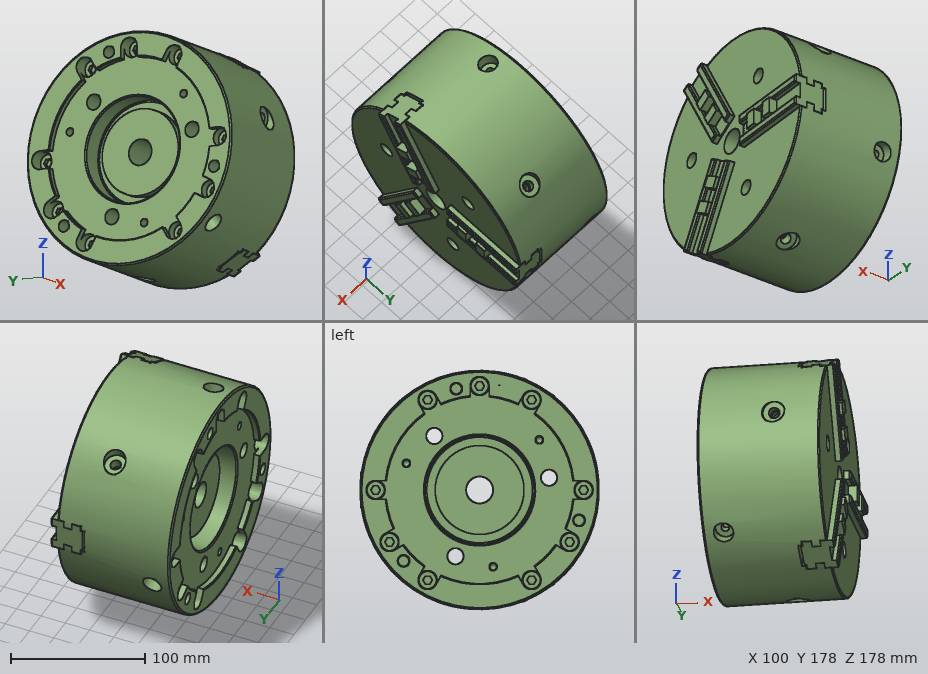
import cadquery as cq
import math


body_diameter = 178.0
body_length = 92.4
rear_chamfer = 1.2
front_chamfer = 1.0
bore_diameter = 20.0

centring_diameter = 81.2
centring_depth = 22.5
centring_chamfer = 1.0
relief_diameter = 78.7
relief_depth = 22.6
boss_diameter = 66.2
boss_top_x = 16.2

recess_diameter = 139.5
recess_depth = 5.2
recess_chamfer = 0.7

screw_circle_radius = 77.5
screw_angles = (0, 60, 90, 120, 180, 210, 240, 300, 330)
counterbore_diameter = 14.0
head_diameter = 13.0
head_top_x = 11.5
head_height = 8.0
socket_corner_diameter = 7.0
socket_depth = 3.5

turns = (0, 120, 240)
through_diameter = 12.0
through_radius = 52.5
through_angle = 50
dowel_diameter = 9.0
dowel_radius = 77.5
dowel_angle = 77
dowel_depth = 14.2
dowel_core_diameter = 8.0
dowel_core_depth = 5.3
tapped_diameter = 6.0
tapped_radius = 58.0
tapped_angle = 20
tapped_depth = 10.7
tapped_core_diameter = 5.0
tapped_core_depth = 5.3
drill_point_angle = 118

rim_hole_x = 15.7
rim_hole_angle = 104
rim_hole_diameter = 15.0
rim_hole_floor = 79.2
rim_pilot_diameter = 6.0
rim_pilot_depth = 7.1

side_hole_x = 57.0
side_hole_angle = 188
side_hole_offset = 35.5
side_hole_diameter = 17.0
side_hole_floor = 76.9
side_pilot_diameter = 8.0
side_pilot_depth = 8.9
side_core_diameter = 6.0
side_core_depth = 8.0

jaw_width = 26.2
jaw_inner_radius = 15.8
jaw_outer_radius = 88.5
foot_x = 73.5
tongue_width = 18.2
tongue_x = 72.0
jaw_top_x = 97.7
jaw_chamfer = 1.0
neck_width = 16.0
neck_start_x = 80.5
neck_end_x = 87.0
groove_width = 12.5
groove_floor_x = 93.3
groove_chamfer = 1.0
key_width = 13.0
key_length = 9.0
key_inner_radii = (29.7, 49.5)
key_top_x = 100.0

slot_foot_x = 72.8
slot_floor_x = 70.0
slot_floor_width = 19.5

overshoot = 1.8


def polar(radius, angle):
    return radius * math.cos(math.radians(angle)), radius * math.sin(math.radians(angle))


def x_cylinder(diameter, x_start, x_end, center=(0, 0)):
    plane = cq.Workplane("YZ", origin=(x_start, 0, 0))
    return plane.center(*center).circle(diameter / 2).extrude(x_end - x_start)


def x_cone(start_diameter, end_diameter, x_start, x_end, center=(0, 0)):
    cone = cq.Solid.makeCone(
        start_diameter / 2,
        end_diameter / 2,
        x_end - x_start,
        pnt=cq.Vector(x_start, *center),
        dir=cq.Vector(1, 0, 0),
    )
    return cq.Workplane(cone)


def radial_block(x_start, x_end, inner_radius, outer_radius, width):
    """Block that runs outwards along +Y, centred on Z = 0."""
    block = cq.Workplane("XY").box(
        x_end - x_start, outer_radius - inner_radius, width, centered=(False, False, True)
    )
    return block.translate((x_start, inner_radius, 0))


def turned(shape, angle):
    return shape.rotate((0, 0, 0), (1, 0, 0), angle)


def make_body():
    body = x_cylinder(body_diameter, 0, body_length)
    body = body.faces("<X").chamfer(rear_chamfer)
    return body.faces(">X").chamfer(front_chamfer)


def cut_centring_recess(body):
    mouth_diameter = centring_diameter + 2 * centring_chamfer
    mouth_end = recess_depth + centring_chamfer
    recess = x_cylinder(centring_diameter, 0, centring_depth)
    recess = recess.union(x_cone(mouth_diameter, centring_diameter, recess_depth, mouth_end))
    recess = recess.union(x_cylinder(relief_diameter, 0, relief_depth))
    recess = recess.cut(x_cylinder(boss_diameter, boss_top_x, relief_depth))
    return body.cut(recess).cut(x_cylinder(bore_diameter, 0, body_length))


def cut_mounting_recess(body):
    body = body.cut(x_cylinder(recess_diameter, 0, recess_depth))
    mouth_diameter = recess_diameter + 2 * recess_chamfer
    body = body.cut(x_cone(mouth_diameter, recess_diameter, 0, recess_chamfer))
    for angle in screw_angles:
        lobe = radial_block(0, recess_depth, 0, screw_circle_radius, counterbore_diameter)
        body = body.cut(turned(lobe, angle))
    return body


def cut_screws(body):
    """Counterbores, each filled by a sunk screw head with a hexagon socket."""
    counterbore_floor = head_top_x + head_height
    for angle in screw_angles:
        center = polar(screw_circle_radius, angle)
        head = x_cylinder(head_diameter, head_top_x, counterbore_floor, center)
        counterbore = x_cylinder(counterbore_diameter, 0, counterbore_floor, center)
        socket = cq.Workplane("YZ", origin=(head_top_x, 0, 0)).center(*center)
        socket = socket.polygon(6, socket_corner_diameter).extrude(socket_depth)
        body = body.cut(counterbore.cut(head)).cut(socket)
    return body


def drill_point_length(diameter):
    return diameter / 2 / math.tan(math.radians(drill_point_angle / 2))


def cut_axial_holes(body):
    tapped_end = recess_depth + tapped_depth
    tapped_core_end = tapped_end + tapped_core_depth
    tip_end = tapped_core_end + drill_point_length(tapped_core_diameter)
    dowel_core_end = dowel_depth + dowel_core_depth
    for turn in turns:
        through_center = polar(through_radius, through_angle + turn)
        body = body.cut(x_cylinder(through_diameter, 0, body_length, through_center))

        dowel_center = polar(dowel_radius, dowel_angle + turn)
        body = body.cut(x_cylinder(dowel_diameter, 0, dowel_depth, dowel_center))
        body = body.cut(x_cylinder(dowel_core_diameter, 0, dowel_core_end, dowel_center))

        tapped_center = polar(tapped_radius, tapped_angle + turn)
        body = body.cut(x_cylinder(tapped_diameter, 0, tapped_end, tapped_center))
        body = body.cut(x_cylinder(tapped_core_diameter, 0, tapped_core_end, tapped_center))
        body = body.cut(x_cone(tapped_core_diameter, 0, tapped_core_end, tip_end, tapped_center))
    return body


def counterbore_cutter(x, offset, diameter, floor, pilot_diameter, pilot_depth):
    """Counterbore open towards +Y with a pilot hole in its floor, displaced by offset along Z."""
    floor_plane = cq.Workplane("XZ", origin=(x, floor, offset))
    bore = floor_plane.circle(diameter / 2).extrude(floor - body_diameter / 2 - overshoot)
    pilot = floor_plane.circle(pilot_diameter / 2).extrude(pilot_depth)
    return bore.union(pilot)


def make_rim_hole_cutter():
    """Radial counterbore whose pilot hole ends in a drill point."""
    cutter = counterbore_cutter(
        rim_hole_x, 0, rim_hole_diameter, rim_hole_floor, rim_pilot_diameter, rim_pilot_depth
    )
    point = cq.Solid.makeCone(
        rim_pilot_diameter / 2,
        0,
        drill_point_length(rim_pilot_diameter),
        pnt=cq.Vector(rim_hole_x, rim_hole_floor - rim_pilot_depth, 0),
        dir=cq.Vector(0, -1, 0),
    )
    return cutter.union(cq.Workplane(point))


def make_side_hole_cutter():
    """Off-axis counterbore whose pilot hole continues as a narrower core hole."""
    cutter = counterbore_cutter(
        side_hole_x,
        -side_hole_offset,
        side_hole_diameter,
        side_hole_floor,
        side_pilot_diameter,
        side_pilot_depth,
    )
    pilot_end = side_hole_floor - side_pilot_depth
    core = cq.Workplane("XZ", origin=(side_hole_x, pilot_end, -side_hole_offset))
    return cutter.union(core.circle(side_core_diameter / 2).extrude(side_core_depth))


def cut_rim_holes(body):
    rim_hole = make_rim_hole_cutter()
    side_hole = make_side_hole_cutter()
    for turn in turns:
        body = body.cut(turned(rim_hole, rim_hole_angle + turn))
        body = body.cut(turned(side_hole, side_hole_angle + turn))
    return body


def make_jaw_groove():
    """Lengthwise groove in the top of a jaw, with chamfered edges."""
    mouth_x = jaw_top_x - groove_chamfer
    half_width = groove_width / 2
    half_mouth = half_width + groove_chamfer
    profile = cq.Workplane("XZ", origin=(0, jaw_outer_radius, 0)).polyline(
        [
            (groove_floor_x, -half_width),
            (mouth_x, -half_width),
            (jaw_top_x, -half_mouth),
            (jaw_top_x, half_mouth),
            (mouth_x, half_width),
            (groove_floor_x, half_width),
        ]
    )
    return profile.close().extrude(jaw_outer_radius - jaw_inner_radius)


def make_jaw():
    """Jaw with a tongue, a foot, a neck and a grooved head that carries two cross keys."""
    ends = (jaw_inner_radius, jaw_outer_radius)
    head = radial_block(neck_end_x, jaw_top_x, *ends, jaw_width)
    jaw = head.faces(">X").chamfer(jaw_chamfer).cut(make_jaw_groove())
    jaw = jaw.union(radial_block(neck_start_x, neck_end_x, *ends, neck_width))
    jaw = jaw.union(radial_block(foot_x, neck_start_x, *ends, jaw_width))
    jaw = jaw.union(radial_block(tongue_x, foot_x, *ends, tongue_width))
    for inner_radius in key_inner_radii:
        outer_radius = inner_radius + key_length
        jaw = jaw.union(radial_block(groove_floor_x, key_top_x, inner_radius, outer_radius, key_width))
    return jaw


def make_slot_cutter():
    """Slot around one jaw, open at the rim and at the front face."""
    ends = (jaw_inner_radius, body_diameter / 2 + overshoot)
    slot = radial_block(slot_floor_x, slot_foot_x, *ends, slot_floor_width)
    slot = slot.union(radial_block(slot_foot_x, neck_start_x, *ends, jaw_width))
    slot = slot.union(radial_block(neck_start_x, neck_end_x, *ends, neck_width))
    return slot.union(radial_block(neck_end_x, jaw_top_x, *ends, jaw_width))


def fit_jaws(body):
    slot = make_slot_cutter()
    jaw = make_jaw()
    for turn in turns:
        body = body.cut(turned(slot, turn))
    for turn in turns:
        body = body.union(turned(jaw, turn))
    return body


chuck = make_body()
chuck = cut_mounting_recess(chuck)
chuck = cut_centring_recess(chuck)
chuck = cut_screws(chuck)
chuck = cut_axial_holes(chuck)
chuck = cut_rim_holes(chuck)
result = fit_jaws(chuck)